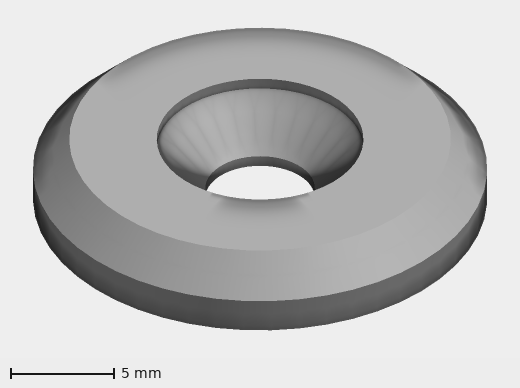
import cadquery as cq

outer_diameter = 22.0
thickness = 3.5
edge_chamfer = 1.75

hole_diameter = 5.3
head_diameter = 10.0
head_recess_depth = 0.57
cone_depth = (head_diameter - hole_diameter) / 2


def washer_body():
    """Disc with its bottom face on Z = 0 and a chamfered top rim."""
    disc = cq.Workplane("XY").circle(outer_diameter / 2).extrude(thickness)
    return disc.faces(">Z").edges().chamfer(edge_chamfer)


def screw_hole():
    """Half profile of the stepped, countersunk hole revolved about Z."""
    hole_radius = hole_diameter / 2
    head_radius = head_diameter / 2
    cone_top = thickness - head_recess_depth
    cone_bottom = cone_top - cone_depth
    return (
        cq.Workplane("XZ")
        .moveTo(0, 0)
        .lineTo(hole_radius, 0)
        .lineTo(hole_radius, cone_bottom)
        .lineTo(head_radius, cone_top)
        .lineTo(head_radius, thickness)
        .lineTo(0, thickness)
        .close()
        .revolve(360, (0, 0, 0), (0, 1, 0))
    )


result = washer_body().cut(screw_hole())